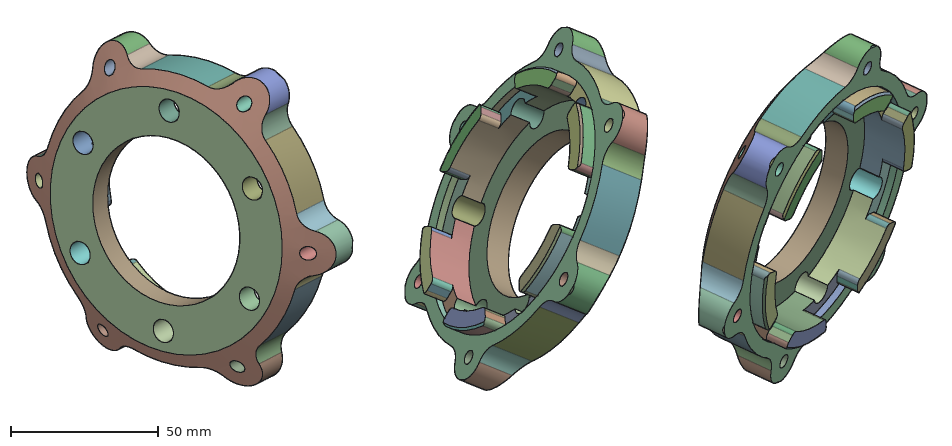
import cadquery as cq
import math

OVERALL_LENGTH = 126.5

BODY_DEPTH = 19.5
TAB_HEIGHT = 5.7
WEB_THICKNESS = 9.0
TOTAL_DEPTH = BODY_DEPTH + TAB_HEIGHT

BODY_RADIUS = 52.7
BORE_DIAMETER = 60.1
RECESS_RADIUS = 40.5
FRONT_FLAT_RADIUS = 47.4
FRONT_SLOPE = 30.0

COUNT = 6
STEP = 360 / COUNT
TILT = -1.7

EAR_CIRCLE_RADIUS = 55.0
EAR_RADIUS = OVERALL_LENGTH / 2 - EAR_CIRCLE_RADIUS * math.cos(math.radians(TILT))
EAR_HOLE_DIAMETER = 4.9
EAR_BLEND_RADIUS = 8.0
EAR_TIP_RADIUS = EAR_CIRCLE_RADIUS + EAR_RADIUS
TIP_BEVEL_WIDTH = 0.3
TIP_BEVEL_DEPTH = 0.6

WEB_HOLE_DIAMETER = 8.2
WEB_HOLE_CIRCLE_RADIUS = 40.0

TAB_OUTER_RADIUS = 47.2
SLOT_FLOOR = 16.8
SLOT_WIDTH = 19.6
TAB_CORNER_FILLET = 2.0
TAB_EDGE_CHAMFER = 0.8

OVERCUT = 1.3


def polar(radius, angle):
    """Point in the XZ plane at an angle in degrees from +X."""
    return radius * math.cos(math.radians(angle)), radius * math.sin(math.radians(angle))


def sketch_plane(y):
    """Plane facing +Y whose local x is -X, so that local y is +Z."""
    return cq.Workplane(cq.Plane(origin=(0, y, 0), xDir=(-1, 0, 0), normal=(0, 1, 0)))


def disc(radius, start, end):
    """Cylinder about the Y axis between two depths."""
    return sketch_plane(start).circle(radius).extrude(end - start)


def around_axis(shape, offset=0.0):
    """Union of equally spaced copies of a shape that is drawn on the +X axis."""
    copies = cq.Workplane("XY")
    for i in range(COUNT):
        copies = copies.add(shape.rotate((0, 0, 0), (0, -1, 0), TILT + offset + i * STEP))
    return copies.combine()


def on_axis_cylinder(distance, radius):
    """Cylinder parallel to Y, centred on the +X axis, through the body."""
    return sketch_plane(0).center(-distance, 0).circle(radius).extrude(BODY_DEPTH)


def blend_angle():
    """Angle from an ear to the centre of its concave blend arc."""
    to_blend = BODY_RADIUS + EAR_BLEND_RADIUS
    ear_to_blend = EAR_RADIUS + EAR_BLEND_RADIUS
    cosine = (EAR_CIRCLE_RADIUS**2 + to_blend**2 - ear_to_blend**2) / (2 * EAR_CIRCLE_RADIUS * to_blend)
    return math.degrees(math.acos(cosine))


def ear():
    """Ear with concave blends running tangent into the body circle."""
    angle = blend_angle()
    body_x, body_z = polar(BODY_RADIUS, angle)
    blend_x, blend_z = polar(BODY_RADIUS + EAR_BLEND_RADIUS, angle)
    share = EAR_RADIUS / (EAR_RADIUS + EAR_BLEND_RADIUS)
    ear_x = EAR_CIRCLE_RADIUS + (blend_x - EAR_CIRCLE_RADIUS) * share
    ear_z = blend_z * share
    chord_x = (body_x + ear_x) / 2 - blend_x
    chord_z = (body_z + ear_z) / 2 - blend_z
    reach = EAR_BLEND_RADIUS / math.hypot(chord_x, chord_z)
    mid_x = blend_x + chord_x * reach
    mid_z = blend_z + chord_z * reach
    return (
        sketch_plane(0)
        .moveTo(-body_x, body_z)
        .threePointArc((-mid_x, mid_z), (-ear_x, ear_z))
        .threePointArc((-EAR_TIP_RADIUS, 0), (-ear_x, -ear_z))
        .threePointArc((-mid_x, -mid_z), (-body_x, -body_z))
        .lineTo(0, 0)
        .close()
        .extrude(BODY_DEPTH)
    )


def turned_envelope():
    """Solid of revolution giving the sloped front and the slight bevel at the rear of the ear tips."""
    outer = EAR_TIP_RADIUS + OVERCUT
    slope_end = (outer - FRONT_FLAT_RADIUS) * math.tan(math.radians(FRONT_SLOPE))
    bevel_run = TIP_BEVEL_DEPTH * (OVERCUT / TIP_BEVEL_WIDTH)
    return (
        cq.Workplane("XY")
        .moveTo(0, 0)
        .lineTo(FRONT_FLAT_RADIUS, 0)
        .lineTo(outer, slope_end)
        .lineTo(outer, BODY_DEPTH - TIP_BEVEL_DEPTH - bevel_run)
        .lineTo(EAR_TIP_RADIUS - TIP_BEVEL_WIDTH, BODY_DEPTH)
        .lineTo(0, BODY_DEPTH)
        .close()
        .revolve(360, (0, 0, 0), (0, 1, 0))
    )


def slot():
    """Radial slot of constant width, drawn along the +X axis, that parts two tabs."""
    return (
        sketch_plane(SLOT_FLOOR)
        .center(-TAB_OUTER_RADIUS, 0)
        .rect(TAB_OUTER_RADIUS, SLOT_WIDTH)
        .extrude(TOTAL_DEPTH - SLOT_FLOOR)
    )


def tabs():
    """Ring split into tabs by the slots, with rounded corners and a chamfer around its outer rear edge."""
    ring = disc(TAB_OUTER_RADIUS, SLOT_FLOOR, TOTAL_DEPTH)
    ring = ring.faces(">Y").chamfer(TAB_EDGE_CHAMFER)
    ring = ring.cut(disc(RECESS_RADIUS, SLOT_FLOOR, TOTAL_DEPTH))
    ring = ring.cut(around_axis(slot(), STEP / 2))
    return ring.edges("|Y").fillet(TAB_CORNER_FILLET)


body = disc(BODY_RADIUS, 0, BODY_DEPTH).union(around_axis(ear()))
body = body.intersect(turned_envelope())

body = body.cut(disc(BORE_DIAMETER / 2, 0, WEB_THICKNESS))
body = body.cut(disc(RECESS_RADIUS, WEB_THICKNESS, BODY_DEPTH))
body = body.cut(disc(TAB_OUTER_RADIUS, SLOT_FLOOR, BODY_DEPTH))
body = body.union(tabs())

ear_hole = on_axis_cylinder(EAR_CIRCLE_RADIUS, EAR_HOLE_DIAMETER / 2)
web_hole = on_axis_cylinder(WEB_HOLE_CIRCLE_RADIUS, WEB_HOLE_DIAMETER / 2)
body = body.cut(around_axis(ear_hole))
body = body.cut(around_axis(web_hole, STEP / 2))

result = body